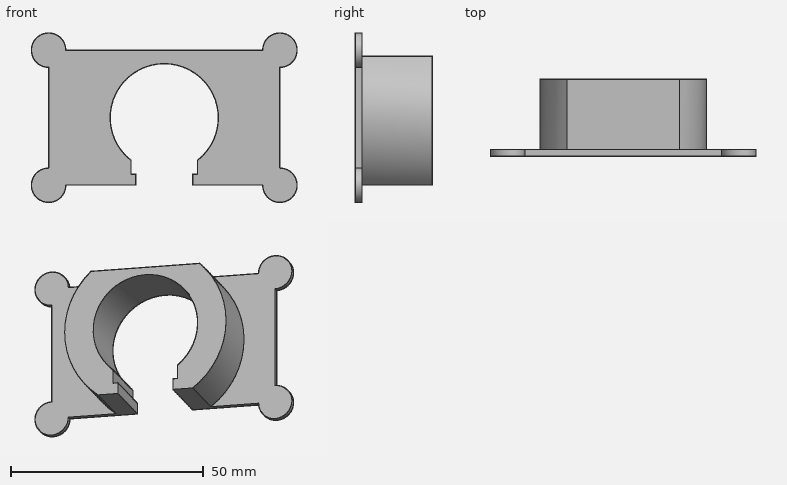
import cadquery as cq

total_width = 69.0
total_height = 44.0
total_depth = 20.0
ear_diameter = 9.0
plate_thickness = 1.8
plate_width = total_width - ear_diameter
plate_height = total_height - ear_diameter

housing_diameter = 43.3
housing_top = 16.0
housing_bottom = -plate_height / 2

bore_diameter = 28.0
throat_width = 17.25
mouth_width = 14.8
lip_height = 2.9


def prism(profile, depth):
    """Extrude a profile from the front face toward +Y."""
    return profile.extrude(-depth)


def front_plane():
    return cq.Workplane("XZ")


def make_plate():
    plate = prism(front_plane().rect(plate_width, plate_height), plate_thickness)
    ears = prism(
        front_plane()
        .rect(plate_width, plate_height, forConstruction=True)
        .vertices()
        .circle(ear_diameter / 2),
        plate_thickness,
    )
    return plate.union(ears)


def make_housing():
    cylinder = prism(front_plane().circle(housing_diameter / 2), total_depth)
    height = housing_top - housing_bottom
    middle = (housing_top + housing_bottom) / 2
    band = prism(front_plane().center(0, middle).rect(housing_diameter, height), total_depth)
    return cylinder.intersect(band)


def make_opening():
    bore = prism(front_plane().circle(bore_diameter / 2), total_depth)
    plate_bottom = -plate_height / 2
    lip_top = plate_bottom + lip_height
    throat = prism(
        front_plane().center(0, lip_top / 2).rect(throat_width, -lip_top),
        total_depth,
    )
    mouth = prism(
        front_plane().center(0, plate_bottom / 2).rect(mouth_width, -plate_bottom),
        total_depth,
    )
    return bore.union(throat).union(mouth)


result = make_plate().union(make_housing()).cut(make_opening())